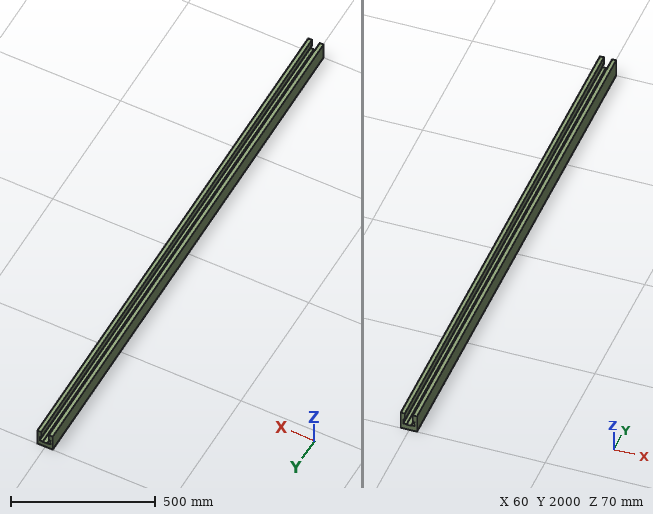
import cadquery as cq

LENGTH = 2000.0
WIDTH = 60.0
HEIGHT = 70.0

MOUTH_WIDTH = 30.0
LIP_HEIGHT = 30.0
CAVITY_WIDTH = 41.0
CAVITY_HEIGHT = 17.0

GROOVE_WIDTH = 17.0
GROOVE_DEPTH = 2.0

LIP_BOTTOM = HEIGHT - LIP_HEIGHT
CAVITY_FLOOR = LIP_BOTTOM - CAVITY_HEIGHT
GROOVE_FLOOR = CAVITY_FLOOR - GROOVE_DEPTH


def full_length_bar(width, bottom, top):
    """Rectangular bar along Y, centred on X and Y, between two heights."""
    return (
        cq.Workplane("XY")
        .workplane(offset=bottom)
        .box(width, LENGTH, top - bottom, centered=(True, True, False))
    )


block = full_length_bar(WIDTH, 0, HEIGHT)
mouth = full_length_bar(MOUTH_WIDTH, LIP_BOTTOM, HEIGHT)
cavity = full_length_bar(CAVITY_WIDTH, CAVITY_FLOOR, LIP_BOTTOM)
groove = full_length_bar(GROOVE_WIDTH, GROOVE_FLOOR, CAVITY_FLOOR)

result = block.cut(mouth).cut(cavity).cut(groove)